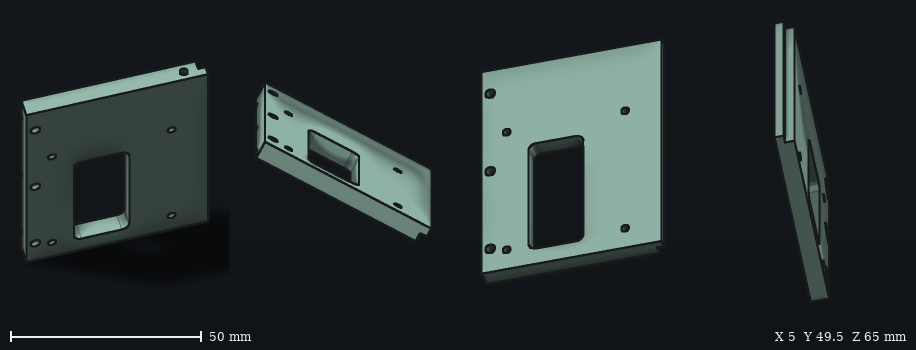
import cadquery as cq

thickness = 5.0
width = 49.5
height = 65.0
front_edge = -width / 2
back_edge = width / 2
bottom = -height / 2

rebate_width = 2.0
rebate_depth = thickness / 2

window_width = 15.0
window_height = 33.8
window_radius = 2.0
window_front_gap = 13.0
window_bottom_gap = 5.0

small_diameter = 2.1
small_front_gap = 7.0
small_bottom_gap = 6.25
small_spacing_y = 32.5
small_spacing_z = 37.8

screw_diameter = 2.6
sink_diameter = 5.8
sink_angle = 90
screw_front_gap = 2.5
screw_pitch = 24.95

top_hole_diameter = 2.1
top_hole_depth = 10.0
top_hole_back_gap = 6.0


def outer_face(body, y=0, z=0):
    """Workplane on the -X face; local x runs along -Y and local y along Z."""
    plane = cq.Plane(origin=(-thickness / 2, y, z), xDir=(0, -1, 0), normal=(-1, 0, 0))
    return body.copyWorkplane(cq.Workplane(plane))


plate = cq.Workplane("XY").box(thickness, width, height)

rebate = cq.Workplane("XY").box(rebate_depth, rebate_width, height, centered=(False, False, True))
plate = plate.cut(rebate.translate((-thickness / 2, back_edge - rebate_width, 0)))

window = (
    cq.Workplane("XY")
    .box(thickness, window_width, window_height)
    .edges("|X")
    .fillet(window_radius)
)
window_y = front_edge + window_front_gap + window_width / 2
window_z = bottom + window_bottom_gap + window_height / 2
plate = plate.cut(window.translate((0, window_y, window_z)))

small_y = front_edge + small_front_gap + small_spacing_y / 2
small_z = bottom + small_bottom_gap + small_spacing_z / 2
plate = (
    outer_face(plate, small_y, small_z)
    .rarray(small_spacing_y, small_spacing_z, 2, 2)
    .hole(small_diameter)
)

plate = (
    outer_face(plate, front_edge + screw_front_gap)
    .pushPoints([(0, row * screw_pitch) for row in (-1, 0, 1)])
    .cskHole(screw_diameter, sink_diameter, sink_angle)
)

top_hole = (
    cq.Workplane("XY", origin=(0, back_edge - top_hole_back_gap, height / 2))
    .circle(top_hole_diameter / 2)
    .extrude(-top_hole_depth)
)
result = plate.cut(top_hole)